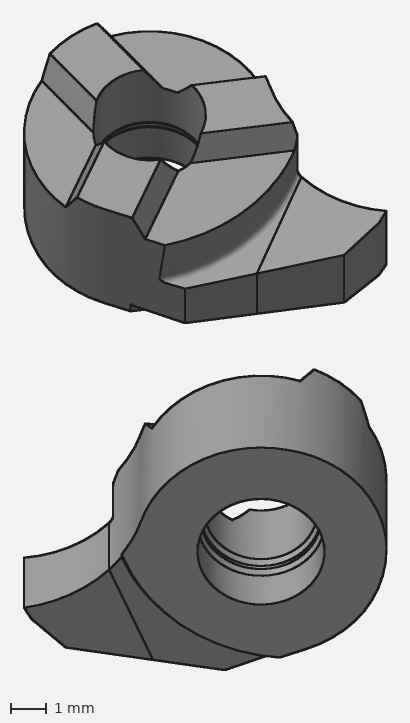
import cadquery as cq
import math

hub_radius = 3.5
bore_radius = 1.57
seat_height = 3.6
tooth_top = 4.41

flat_end_x = 2.43
heel = (6.22, -1.01)
nose = (6.75, 0.3)
tip_x = 6.8
flank_center_x = 5.87
flank_low_y = 0.64
flank_radius = (flank_center_x**2 + flank_low_y**2 - hub_radius**2) / (2 * (hub_radius - flank_low_y))
flank_center_y = flank_low_y + flank_radius

tooth_angles = (30, 150, 270)
tooth_half_top = 0.84
tooth_half_base = 1.24

slope_x = 0.037
slope_y = 0.067
arm_top_z = 2.01
arm_bottom_z = 0.1

shoulder_radius = 5.09
upper_shoulder_center = (-1.09, 0.78)
lower_shoulder_center = (-1.43, 1.07)
shoulder_fillet = 0.14
split_x = 4.14

relief_start_x = -1.96
relief_height = 0.09

step_tops = (1.97, 1.63)
step_widening = 0.1
step_cone_height = 0.19

margin = 1.03
far = 10.3


def flank_point(x):
    return (x, flank_center_y - math.sqrt(flank_radius**2 - (x - flank_center_x) ** 2))


def outline(bottom, top):
    """Hub disc with the hooked arm, from bottom to top."""
    tangent_ratio = hub_radius / (hub_radius + flank_radius)
    tangent_point = (flank_center_x * tangent_ratio, flank_center_y * tangent_ratio)
    return (
        cq.Workplane("XY").workplane(offset=bottom)
        .moveTo(0, -hub_radius)
        .lineTo(flat_end_x, -hub_radius)
        .lineTo(*heel)
        .lineTo(*nose)
        .lineTo(*flank_point(tip_x))
        .threePointArc(flank_point((tip_x + tangent_point[0]) / 2), tangent_point)
        .threePointArc((-hub_radius, 0), (0, -hub_radius))
        .close()
        .extrude(top - bottom)
    )


def arm_face_plane(height, lean):
    """Plane through the bore axis at height, rising (lean 1) or falling (lean -1) toward the tip."""
    return cq.Plane(
        origin=(0, 0, height),
        xDir=(1, 0, lean * slope_x),
        normal=(-lean * slope_x, -lean * slope_y, 1),
    )


def shoulder_region(plane, center, depth):
    """Everything inside a shoulder wall: a round stretch, then straight on toward +Y."""
    center_x, center_y = center
    return (
        cq.Workplane(plane)
        .moveTo(center_x, center_y - shoulder_radius)
        .threePointArc(
            (center_x + shoulder_radius * math.sqrt(0.5), center_y - shoulder_radius * math.sqrt(0.5)),
            (center_x + shoulder_radius, center_y),
        )
        .lineTo(center_x + shoulder_radius, far)
        .lineTo(-far, far)
        .lineTo(-far, center_y - shoulder_radius)
        .close()
        .extrude(depth)
    )


def upper_arm_cut():
    """Space above the arm, with a rounded corner at the foot of the shoulder."""
    plane = arm_face_plane(arm_top_z, 1)
    space = cq.Workplane(plane).rect(2 * far, 2 * far).extrude(tooth_top)
    wall_base = cq.Plane(origin=(0, 0, 0), xDir=(1, 0, 0), normal=(0, -slope_y, 1))
    wall_shift = slope_y * arm_top_z
    center = (upper_shoulder_center[0], upper_shoulder_center[1] + wall_shift)
    space = space.cut(shoulder_region(wall_base, center, 2 * tooth_top))
    foot = cq.selectors.BoxSelector((0, -hub_radius, 0), (split_x, 2 * hub_radius, seat_height - margin))
    return space.edges(foot).fillet(shoulder_fillet)


def lower_arm_cut():
    """Space below the arm, outside the lower shoulder."""
    space = cq.Workplane(arm_face_plane(arm_bottom_z, -1)).rect(2 * far, 2 * far).extrude(-2 * margin)
    below = cq.Plane(origin=(0, 0, -2 * margin))
    return space.cut(shoulder_region(below, lower_shoulder_center, 4 * margin))


def hub_underside_cut():
    """Space below the flat underside of the hub, inside the lower shoulder."""
    below = cq.Plane(origin=(0, 0, -margin))
    return shoulder_region(below, lower_shoulder_center, margin)


def underside_relief():
    """Thin wedge that lifts the underside toward -X."""
    run = relief_start_x + hub_radius
    return (
        cq.Workplane("XZ", origin=(0, far, 0))
        .polyline([(relief_start_x, 0), (relief_start_x - 2 * run, 2 * relief_height), (relief_start_x - 2 * run, 0)])
        .close()
        .extrude(2 * far)
    )


def tooth(angle):
    """Radial driving tooth with sloping sides, standing on the seat."""
    return (
        cq.Workplane("YZ")
        .polyline([
            (-tooth_half_base, seat_height),
            (tooth_half_base, seat_height),
            (tooth_half_top, tooth_top),
            (-tooth_half_top, tooth_top),
        ])
        .close()
        .extrude(far)
        .rotate((0, 0, 0), (0, 0, 1), angle)
    )


def seat_cut():
    """Space between the teeth above the seat."""
    space = cq.Workplane(origin=(0, 0, seat_height)).rect(2 * far, 2 * far).extrude(margin)
    for angle in tooth_angles:
        space = space.cut(tooth(angle))
    return space


def bore():
    """Through hole that widens downward in steps."""
    radius = bore_radius
    profile = [(0, tooth_top + margin), (radius, tooth_top + margin)]
    for step_top in step_tops:
        profile.append((radius, step_top))
        radius += step_widening
        profile.append((radius, step_top - step_cone_height))
    profile += [(radius, -margin), (0, -margin)]
    return cq.Workplane("XZ").polyline(profile).close().revolve(360, (0, 0, 0), (0, 1, 0))


def tip_side():
    """Half-space beyond the joint."""
    return cq.Workplane("YZ", origin=(split_x, 0, 0)).rect(2 * far, 2 * far).extrude(far)


def whole_insert():
    return (
        outline(-margin, tooth_top)
        .cut(upper_arm_cut())
        .cut(lower_arm_cut())
        .cut(hub_underside_cut())
        .cut(underside_relief())
        .cut(seat_cut())
        .cut(bore())
    )


def make_holder():
    return whole_insert().cut(tip_side())


def make_cutting_tip():
    return whole_insert().intersect(tip_side())


holder = make_holder()
cutting_tip = make_cutting_tip()
result = cq.Compound.makeCompound([holder.val(), cutting_tip.val()])